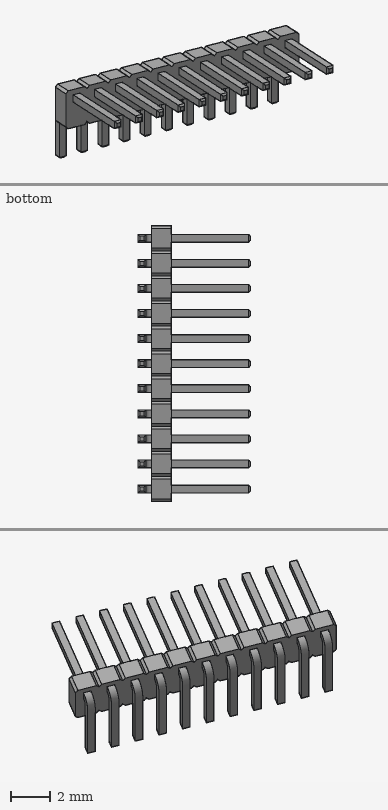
import cadquery as cq


pin_count = 11
strip_length = 13.97
pitch = strip_length / pin_count
housing_width = 1.0
housing_height = 2.11
housing_chamfer = 0.14

pin_size = 0.4
pin_span_x = 5.7
bend_inner_radius = 0.2
bend_outer_radius = bend_inner_radius + pin_size
tip_chamfer = 0.1
pin_top_depth = 0.3
pin_overhang = 0.68

overall_height = 4.35

leg_outer_x = -pin_overhang
leg_inner_x = leg_outer_x + pin_size
leg_tip_z = -overall_height
arm_top_z = -pin_top_depth
arm_bottom_z = arm_top_z - pin_size
arm_tip_x = leg_outer_x + pin_span_x


def housing_segment():
    """One pitch of the housing, chamfered along its four X edges to leave V notches between segments."""
    return (
        cq.Workplane("XY")
        .box(housing_width, pitch, housing_height)
        .edges("|X")
        .chamfer(housing_chamfer)
        .translate((housing_width / 2, 0, -housing_height / 2))
    )


def bent_pin():
    """Square pin with a vertical leg, a rounded bend and a horizontal arm, chamfered at both tips."""
    bend_start_x = leg_outer_x + bend_outer_radius
    bend_end_z = arm_top_z - bend_outer_radius
    pin = (
        cq.Workplane("XZ")
        .moveTo(leg_outer_x, leg_tip_z)
        .lineTo(leg_outer_x, bend_end_z)
        .radiusArc((bend_start_x, arm_top_z), bend_outer_radius)
        .lineTo(arm_tip_x, arm_top_z)
        .lineTo(arm_tip_x, arm_bottom_z)
        .lineTo(bend_start_x, arm_bottom_z)
        .radiusArc((leg_inner_x, bend_end_z), -bend_inner_radius)
        .lineTo(leg_inner_x, leg_tip_z)
        .close()
        .extrude(pin_size / 2, both=True)
    )
    pin = pin.faces("<Z").chamfer(tip_chamfer)
    return pin.faces(">X").chamfer(tip_chamfer)


position = housing_segment().union(bent_pin())
first_y = -(strip_length - pitch) / 2

result = position.translate((0, first_y, 0))
for index in range(1, pin_count):
    result = result.union(position.translate((0, first_y + index * pitch, 0)))
result = result.clean()